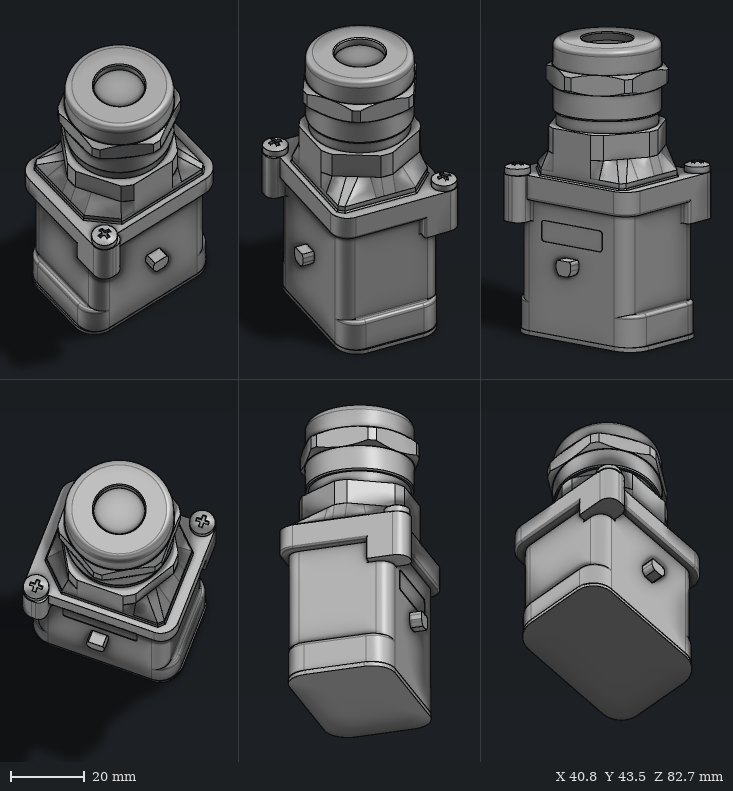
import cadquery as cq
import math


LIP_TOP = 1.3
SHROUD_TOP = 10.25
LUG_BOTTOM = 32.2
COLLAR_BOTTOM = 38.3
COLLAR_TOP = 45.2
PEDESTAL_TOP = 47.05
LOWER_HEX_BOTTOM = 52.1
LOWER_HEX_TOP = 59.1
SLEEVE_BOTTOM = 62.6
NUT_BOTTOM = 69.8
NUT_TOP = 75.6
TOTAL_HEIGHT = 82.7

BODY_X = 30.2
BODY_Y = 38.2
BODY_CORNER_R = 4.05
SHROUD_Y = 42.5
SHROUD_CORNER_R = 6.2
SHROUD_TOP_FILLET = 1.0
SHROUD_ROOT_R = 0.25
LIP_X = 30.3
LIP_Y = 43.5
LIP_CORNER_R = 6.7

COLLAR_X = 34.4
COLLAR_Y = 43.3
COLLAR_CORNER_R = 5.1
COLLAR_EDGE_FILLET = 0.7
LUG_SPAN_X = 40.8
LUG_OUTER_X = LUG_SPAN_X / 2
LUG_R = 3.7
LUG_INNER_R = 2.65
LUG_SIDE_X = 9.0
LUG_SIDE_Y = 14.15
LUG_EDGE_R = 0.5
LUG_ROOT_R = 0.6
SCREW_X = LUG_OUTER_X - LUG_R
SCREW_Y = COLLAR_Y / 2 - LUG_R

HEAD_DIA = 7.0
HEAD_RIM_TOP = 47.05
HEAD_TOP = 48.1
CROSS_LENGTH = 3.55
CROSS_WIDTH = 1.0
CROSS_DEPTH = 1.0

PEDESTAL_X = 30.3
PEDESTAL_Y = 36.4
PEDESTAL_CUT = 7.3
PEDESTAL_CORNER = 1.4
FOOT_SIZE = 0.4
FOOT_SLOPE = 45

LOWER_HEX_FLATS = 30.3
LOWER_HEX_CORNER_DIA = 33.1
LEFT_CORNER = 210
FRONT_CORNER = 270
RIGHT_CORNER = 330

CORNER_CREASES = (0.29, 0.53)
CUT_CREASE = 0.35
FRONT_CREASE = 0.59
FRONT_CREASE_FOOT = 8.6
BACK_CREASE = 0.78
BACK_CREASE_FOOT = 4.1

NECK_DIA = 28.0
GLAND_DIA = 29.8
GLAND_TOP_FILLET = 2.0
SLEEVE_BEVEL_HEIGHT = 0.5
SLEEVE_BEVEL = 0.25
NUT_FLATS = 30.2
NUT_CORNER_DIA = 33.6
NUT_BEVEL_HEIGHT = 1.0
BORE_DIA = 14.0
BORE_DEPTH = 2.3
BORE_CHAMFER = 0.3

PIN_SPAN = 37.2
PIN_TOP = 23.6
PIN_SIDE_BOTTOM = 21.1
PIN_BOTTOM = 19.3
PIN_WIDTH = 5.1
PIN_BOTTOM_WIDTH = 2.8
PIN_TOP_WIDTH = 4.1
PIN_SHOULDER = 22.5
PIN_SHOULDER_R = 1.4
PIN_ARC_R = 3.2

PLATE_Y = 21.5
PLATE_Z = 5.9
PLATE_CENTRE_Z = 29.9
PLATE_R = 1.0
PLATE_DEPTH = 0.2


def rounded_block(size_x, size_y, corner_r, bottom, top):
    """Upright block with rounded vertical corners, centred on the Z axis."""
    block = cq.Workplane("XY").workplane(offset=bottom).rect(size_x, size_y).extrude(top - bottom)
    return block.edges("|Z").fillet(corner_r)


def cylinder(diameter, bottom, top):
    return cq.Workplane("XY").workplane(offset=bottom).circle(diameter / 2).extrude(top - bottom)


def hex_prism(flats, bottom, top, turn):
    """Hexagonal prism; turn is the angle of its first corner from +X."""
    corner_circle = flats / math.cos(math.pi / 6)
    prism = cq.Workplane("XY").polygon(6, corner_circle).extrude(top - bottom)
    return prism.rotate((0, 0, 0), (0, 0, 1), turn).translate((0, 0, bottom))


def half_turn(shape):
    """Copy of a shape turned 180 degrees about the Z axis."""
    return shape.rotate((0, 0, 0), (0, 0, 1), 180)


def make_housing():
    body = rounded_block(BODY_X, BODY_Y, BODY_CORNER_R, 0, COLLAR_TOP)
    shroud = rounded_block(BODY_X, SHROUD_Y, SHROUD_CORNER_R, 0, SHROUD_TOP)
    shroud = shroud.faces(">Z").edges().fillet(SHROUD_TOP_FILLET)
    lip = rounded_block(LIP_X, LIP_Y, LIP_CORNER_R, 0, LIP_TOP)
    root = make_shroud_root()
    return body.union(shroud).union(lip).union(root).union(half_turn(root))


def make_shroud_root():
    """Concave strip where the flat -Y side of the body meets the top of the shroud."""
    wall_y = -BODY_Y / 2
    half_length = BODY_X / 2 - BODY_CORNER_R
    return (
        cq.Workplane("YZ").moveTo(wall_y - SHROUD_ROOT_R, SHROUD_TOP)
        .radiusArc((wall_y, SHROUD_TOP + SHROUD_ROOT_R), -SHROUD_ROOT_R)
        .lineTo(wall_y + SHROUD_ROOT_R, SHROUD_TOP + SHROUD_ROOT_R)
        .lineTo(wall_y + SHROUD_ROOT_R, SHROUD_TOP - SHROUD_ROOT_R)
        .lineTo(wall_y - SHROUD_ROOT_R, SHROUD_TOP - SHROUD_ROOT_R)
        .close()
        .extrude(half_length, both=True)
    )


def make_collar():
    collar = rounded_block(COLLAR_X, COLLAR_Y, COLLAR_CORNER_R, COLLAR_BOTTOM, COLLAR_TOP)
    return collar.faces("<Z").edges().fillet(COLLAR_EDGE_FILLET)


def make_lug():
    """Screw lug on the +X, -Y corner of the collar."""
    face_y = -COLLAR_Y / 2
    body_x = BODY_X / 2
    body_y = -BODY_Y / 2
    anchor = BODY_CORNER_R
    diagonal = math.sqrt(0.5)
    inner_x = LUG_OUTER_X - LUG_INNER_R
    inner_y = -LUG_SIDE_Y - LUG_INNER_R
    return (
        cq.Workplane("XY").workplane(offset=LUG_BOTTOM)
        .moveTo(LUG_SIDE_X + LUG_EDGE_R, face_y)
        .lineTo(SCREW_X, face_y)
        .threePointArc(
            (SCREW_X + LUG_R * diagonal, -SCREW_Y - LUG_R * diagonal),
            (LUG_OUTER_X, -SCREW_Y),
        )
        .lineTo(LUG_OUTER_X, inner_y)
        .threePointArc(
            (inner_x + LUG_INNER_R * diagonal, inner_y + LUG_INNER_R * diagonal),
            (inner_x, -LUG_SIDE_Y),
        )
        .lineTo(body_x + LUG_ROOT_R, -LUG_SIDE_Y)
        .radiusArc((body_x, -LUG_SIDE_Y + LUG_ROOT_R), LUG_ROOT_R)
        .lineTo(body_x - anchor, -LUG_SIDE_Y + LUG_ROOT_R)
        .lineTo(LUG_SIDE_X - LUG_ROOT_R, body_y + anchor)
        .lineTo(LUG_SIDE_X - LUG_ROOT_R, body_y)
        .radiusArc((LUG_SIDE_X, body_y - LUG_ROOT_R), LUG_ROOT_R)
        .lineTo(LUG_SIDE_X, face_y + LUG_EDGE_R)
        .radiusArc((LUG_SIDE_X + LUG_EDGE_R, face_y), -LUG_EDGE_R)
        .close()
        .extrude(COLLAR_TOP - LUG_BOTTOM)
    )


def make_screw():
    """Domed screw head with a cross recess, on the +X, -Y lug."""
    head_r = HEAD_DIA / 2
    dome_rise = HEAD_TOP - HEAD_RIM_TOP
    dome_r = (head_r ** 2 + dome_rise ** 2) / (2 * dome_rise)
    head = (
        cq.Workplane("XZ").moveTo(0, COLLAR_TOP)
        .lineTo(head_r, COLLAR_TOP)
        .lineTo(head_r, HEAD_RIM_TOP)
        .radiusArc((0, HEAD_TOP), -dome_r)
        .close()
        .revolve(360, (0, 0), (0, 1))
    )
    for size_x, size_y in ((CROSS_LENGTH, CROSS_WIDTH), (CROSS_WIDTH, CROSS_LENGTH)):
        slot = cq.Workplane("XY").workplane(offset=HEAD_TOP).rect(size_x, size_y).extrude(-CROSS_DEPTH)
        head = head.cut(slot)
    return head.translate((SCREW_X, -SCREW_Y, 0))


def turned(points):
    """Points turned 180 degrees about the Z axis."""
    return [(-x, -y) for x, y in points]


def make_pedestal():
    """Upright footprint with a bevelled foot, cut at 45 degrees beside the screws."""
    half_x = PEDESTAL_X / 2
    half_y = PEDESTAL_Y / 2
    foot_top = COLLAR_TOP + FOOT_SIZE
    half_ring = [
        (-half_x, -half_y + PEDESTAL_CORNER),
        (-half_x + PEDESTAL_CORNER, -half_y),
        (half_x - PEDESTAL_CUT, -half_y),
        (half_x, -half_y + PEDESTAL_CUT),
    ]
    corners = half_ring + turned(half_ring)
    outline = cq.Workplane("XY").workplane(offset=foot_top).polyline(corners).close()
    upright = outline.extrude(PEDESTAL_TOP - foot_top)
    foot = (
        cq.Workplane("XY").workplane(offset=foot_top).polyline(corners).close()
        .extrude(-FOOT_SIZE, taper=-FOOT_SLOPE)
    )
    return upright.union(foot)


def make_transition():
    """Faceted skirt from the lower hexagon out to the pedestal."""
    flat_x = LOWER_HEX_FLATS / 2
    corner_r = LOWER_HEX_CORNER_DIA / 2
    half_corner = math.pi / 6 - math.acos(flat_x / corner_r)

    def corner_end(degrees, side):
        angle = math.radians(degrees) + side * half_corner
        return (corner_r * math.cos(angle), corner_r * math.sin(angle))

    def between(start, end, share):
        return (start[0] + share * (end[0] - start[0]), start[1] + share * (end[1] - start[1]))

    left_start = corner_end(LEFT_CORNER, -1)
    left_end = corner_end(LEFT_CORNER, 1)
    front_start = corner_end(FRONT_CORNER, -1)
    front_end = corner_end(FRONT_CORNER, 1)
    right_start = corner_end(RIGHT_CORNER, -1)
    right_end = corner_end(RIGHT_CORNER, 1)

    half_x = PEDESTAL_X / 2
    half_y = PEDESTAL_Y / 2

    def upper_half(crease):
        return [
            left_start,
            left_end,
            *[between(left_end, front_start, share) for share in (*CORNER_CREASES, crease)],
            front_start,
            front_end,
            between(front_end, right_start, CUT_CREASE),
            right_start,
            right_end,
        ]

    def lower_half(crease_foot):
        return [
            (-half_x, left_start[1]),
            (-half_x, left_end[1]),
            (-half_x, -half_y + PEDESTAL_CORNER),
            (-half_x + PEDESTAL_CORNER, -half_y),
            (-crease_foot, -half_y),
            (front_start[0], -half_y),
            (front_end[0], -half_y),
            (half_x - PEDESTAL_CUT, -half_y),
            (half_x, -half_y + PEDESTAL_CUT),
            (half_x, right_end[1]),
        ]

    upper = upper_half(FRONT_CREASE) + turned(upper_half(BACK_CREASE))
    lower = lower_half(FRONT_CREASE_FOOT) + turned(lower_half(BACK_CREASE_FOOT))
    return (
        cq.Workplane("XY").workplane(offset=PEDESTAL_TOP).polyline(lower).close()
        .workplane(offset=LOWER_HEX_BOTTOM - PEDESTAL_TOP).polyline(upper).close()
        .loft(ruled=True)
    )


def make_lower_hex():
    prism = hex_prism(LOWER_HEX_FLATS, LOWER_HEX_BOTTOM, LOWER_HEX_TOP, RIGHT_CORNER)
    return prism.intersect(cylinder(LOWER_HEX_CORNER_DIA, LOWER_HEX_BOTTOM, LOWER_HEX_TOP))


def make_gland():
    neck = cylinder(NECK_DIA, LOWER_HEX_TOP, SLEEVE_BOTTOM)
    sleeve = cylinder(GLAND_DIA, SLEEVE_BOTTOM, TOTAL_HEIGHT)
    sleeve = sleeve.faces(">Z").edges().fillet(GLAND_TOP_FILLET)
    sleeve = sleeve.faces("<Z").edges().chamfer(SLEEVE_BEVEL_HEIGHT, SLEEVE_BEVEL)
    bore = cylinder(BORE_DIA, TOTAL_HEIGHT - BORE_DEPTH, TOTAL_HEIGHT)
    sleeve = sleeve.cut(bore)
    bore_rim = cq.selectors.RadiusNthSelector(0)
    sleeve = sleeve.faces(">Z").edges(bore_rim).chamfer(BORE_CHAMFER)
    return neck.union(sleeve)


def make_nut():
    """Gland nut: a hexagon with corners along X, turned to a cone at both ends."""
    corner_r = NUT_CORNER_DIA / 2
    turned_blank = (
        cq.Workplane("XZ")
        .polyline([
            (0, NUT_BOTTOM),
            (NUT_FLATS / 2, NUT_BOTTOM),
            (corner_r, NUT_BOTTOM + NUT_BEVEL_HEIGHT),
            (corner_r, NUT_TOP - NUT_BEVEL_HEIGHT),
            (NUT_FLATS / 2, NUT_TOP),
            (0, NUT_TOP),
        ])
        .close()
        .revolve(360, (0, 0), (0, 1))
    )
    return hex_prism(NUT_FLATS, NUT_BOTTOM, NUT_TOP, 0).intersect(turned_blank)


def make_pins():
    """One bar along X whose ends stand out of both sides of the body."""
    side_y = PIN_WIDTH / 2
    top_y = PIN_TOP_WIDTH / 2
    base_y = PIN_BOTTOM_WIDTH / 2
    return (
        cq.Workplane("YZ").workplane(offset=-PIN_SPAN / 2)
        .moveTo(-top_y, PIN_TOP)
        .lineTo(top_y, PIN_TOP)
        .radiusArc((side_y, PIN_SHOULDER), PIN_SHOULDER_R)
        .lineTo(side_y, PIN_SIDE_BOTTOM)
        .radiusArc((base_y, PIN_BOTTOM), PIN_ARC_R)
        .lineTo(-base_y, PIN_BOTTOM)
        .radiusArc((-side_y, PIN_SIDE_BOTTOM), PIN_ARC_R)
        .lineTo(-side_y, PIN_SHOULDER)
        .radiusArc((-top_y, PIN_TOP), PIN_SHOULDER_R)
        .close()
        .extrude(PIN_SPAN)
    )


def make_plate_recess():
    recess = (
        cq.Workplane("YZ").workplane(offset=-BODY_X / 2)
        .center(0, PLATE_CENTRE_Z).rect(PLATE_Y, PLATE_Z).extrude(PLATE_DEPTH)
    )
    return recess.edges("|X").fillet(PLATE_R)


result = make_housing().union(make_collar())
lug = make_lug()
screw = make_screw()
for corner_part in (lug, half_turn(lug), screw, half_turn(screw)):
    result = result.union(corner_part)
for centre_part in (make_pins(), make_pedestal(), make_transition(), make_lower_hex(), make_gland()):
    result = result.union(centre_part)
result = result.union(make_nut()).cut(make_plate_recess())